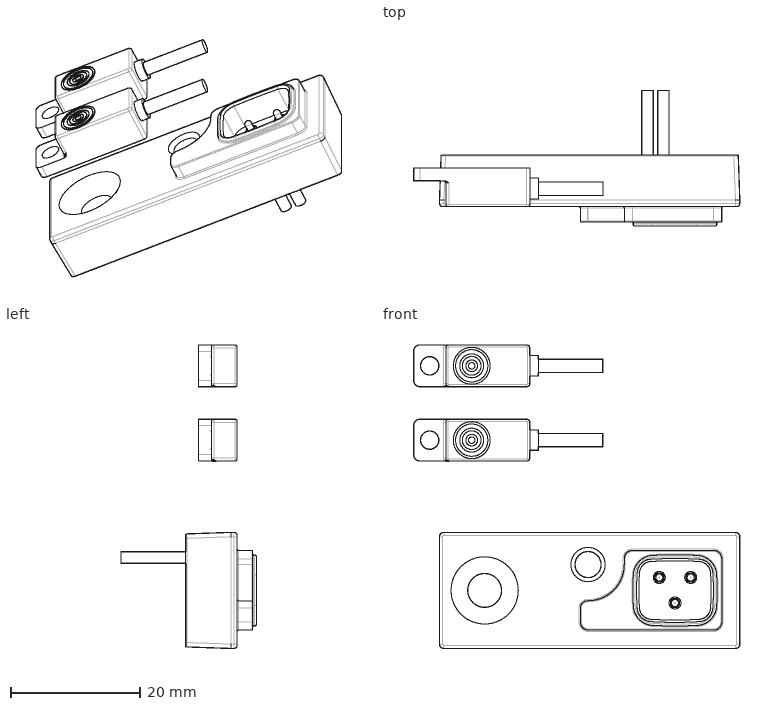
import cadquery as cq
import math


HOUSING_LENGTH = 46.5
HOUSING_HEIGHT = 18.0
HOUSING_DEPTH = 8.0
PLATE_DEPTH = 1.0
SIDE_DRAFT = 2.0
HOUSING_CORNER_RADIUS = 0.7
FRONT_EDGE_RADIUS = 0.5
BACK_EDGE_RADIUS = 0.2

SCREW_X = 7.0
SCREW_Z = HOUSING_HEIGHT / 2
SCREW_DIAMETER = 5.2
COUNTERSINK_DIAMETER = 10.4
COUNTERSINK_ANGLE = 90.0
PIN_HOLE_X = 23.0
PIN_HOLE_Z = 13.0
PIN_HOLE_DIAMETER = 4.0
PIN_HOLE_CHAMFER = 0.65

PAD_LEFT = 21.8
PAD_RIGHT = 43.7
PAD_BOTTOM = 2.85
PAD_TOP = 15.2
PAD_HEIGHT = 2.4
PAD_RELIEF_RADIUS = 5.6
PAD_CORNER_RADIUS = 1.3
PAD_TIP_RADIUS = 1.15
PAD_FRONT_RADIUS = 0.15
PAD_BASE_RADIUS = 0.2

CONNECTOR_X = 36.45
CONNECTOR_Z = 9.0
RIM_WIDTH = 13.0
RIM_HEIGHT = 11.0
RIM_CORNER_RADIUS = 3.2
RIM_PROJECTION = 3.0
RIM_EDGE_RADIUS = 0.3
RIM_BASE_RADIUS = 0.15
SIDE_BOW = 0.25
SOCKET_WIDTH = 11.2
SOCKET_HEIGHT = 9.2
SOCKET_CORNER_RADIUS = 1.9
SOCKET_DEPTH = 4.5
SOCKET_CHAMFER = 0.35

CONTACT_SPACING = 4.85
CONTACT_UPPER_Z = 11.0
CONTACT_LOWER_Z = 7.05
COLLAR_DIAMETER = 1.85
COLLAR_LENGTH = 0.8
COLLAR_CHAMFER = 0.2
CONTACT_DIAMETER = 1.1
CONTACT_TIP_RADIUS = 0.5
CONTACT_LENGTH = 2.2

BACK_WIRE_DIAMETER = 1.8
BACK_WIRE_LENGTH = 10.0
BACK_WIRE_XS = (32.2, 34.65)
BACK_WIRE_Z = 14.1

SENSOR_LEFT = -4.0
SENSOR_TOP = 47.0
SENSOR_PITCH = 11.5
SENSOR_COUNT = 2
SENSOR_LENGTH = 18.0
SENSOR_HEIGHT = 6.5
SENSOR_DEPTH = 6.0
SENSOR_CORNER_RADIUS = 0.5
SENSOR_FRONT_RADIUS = 0.35
TAB_LENGTH = 5.0
TAB_THICKNESS = 2.0
TAB_CORNER_RADIUS = 1.0
TAB_ROOT_RADIUS = 0.4
TAB_HOLE_X = 2.5
TAB_HOLE_DIAMETER = 2.8
TARGET_X = 9.0
TARGET_RING_DIAMETERS = ((5.7, 5.0), (3.7, 2.9), (1.8, 1.0))
TARGET_GROOVE_DEPTH = 0.1
CABLE_Y = 2.8
GLAND_DIAMETER = 3.2
GLAND_LENGTH = 1.3
CABLE_DIAMETER = 2.1
CABLE_REACH = 11.3

EDGE_MARGIN = 0.1
PLANE_TOLERANCE = 0.01


def front_plane(y, x=0.0, z=0.0):
    """Sketch plane facing the front (-Y): local x is X and local y is Z."""
    return cq.Workplane(cq.Plane(origin=(x, y, z), xDir=(1, 0, 0), normal=(0, -1, 0)))


def back_plane(y, x=0.0, z=0.0):
    """Sketch plane facing the back (+Y): local x is -X and local y is Z."""
    return cq.Workplane(cq.Plane(origin=(x, y, z), xDir=(-1, 0, 0), normal=(0, 1, 0)))


def housing_block():
    center_x = HOUSING_LENGTH / 2
    center_z = HOUSING_HEIGHT / 2
    plate = (
        back_plane(0, center_x, center_z)
        .rect(HOUSING_LENGTH, HOUSING_HEIGHT)
        .extrude(PLATE_DEPTH)
    )
    rear = (
        back_plane(PLATE_DEPTH, center_x, center_z)
        .rect(HOUSING_LENGTH, HOUSING_HEIGHT)
        .extrude(HOUSING_DEPTH - PLATE_DEPTH, taper=SIDE_DRAFT)
    )
    plate = plate.edges("|Y").fillet(HOUSING_CORNER_RADIUS)
    rear = rear.edges("not(#Y)").fillet(HOUSING_CORNER_RADIUS)
    rear = rear.faces(">Y").edges().fillet(BACK_EDGE_RADIUS)
    plate = plate.faces("<Y").edges().fillet(FRONT_EDGE_RADIUS)
    return plate.union(rear)


def pad_outline():
    """Pad outline with the upper left corner relieved around the pin hole."""
    relief_low = PIN_HOLE_Z - PAD_RELIEF_RADIUS
    relief_right = PIN_HOLE_X + PAD_RELIEF_RADIUS
    diagonal = PAD_RELIEF_RADIUS * math.sqrt(0.5)
    return (
        front_plane(0)
        .moveTo(PAD_LEFT, PAD_BOTTOM)
        .lineTo(PAD_RIGHT, PAD_BOTTOM)
        .lineTo(PAD_RIGHT, PAD_TOP)
        .lineTo(relief_right, PAD_TOP)
        .lineTo(relief_right, PIN_HOLE_Z)
        .threePointArc((PIN_HOLE_X + diagonal, PIN_HOLE_Z - diagonal), (PIN_HOLE_X, relief_low))
        .lineTo(PAD_LEFT, relief_low)
        .close()
    )


def connector_pad():
    pad = pad_outline().extrude(PAD_HEIGHT)
    plain_corners = (
        (PAD_LEFT, PAD_BOTTOM),
        (PAD_RIGHT, PAD_BOTTOM),
        (PAD_RIGHT, PAD_TOP),
        (PIN_HOLE_X + PAD_RELIEF_RADIUS, PAD_TOP),
    )
    for x, z in plain_corners:
        corner = (x, -PAD_HEIGHT / 2, z)
        pad = pad.edges(cq.selectors.NearestToPointSelector(corner)).fillet(PAD_CORNER_RADIUS)
    tip = (PAD_LEFT, -PAD_HEIGHT / 2, PIN_HOLE_Z - PAD_RELIEF_RADIUS)
    pad = pad.edges(cq.selectors.NearestToPointSelector(tip)).fillet(PAD_TIP_RADIUS)
    return pad.faces("<Y").edges().fillet(PAD_FRONT_RADIUS)


def bowed_block(width, height, corner_radius, y_front, depth):
    """Rounded block with gently bulging sides, reaching back from y_front."""
    half_w = width / 2 - SIDE_BOW
    half_h = height / 2 - SIDE_BOW
    block = (
        back_plane(y_front, CONNECTOR_X, CONNECTOR_Z)
        .moveTo(-half_w, -half_h)
        .threePointArc((0, -height / 2), (half_w, -half_h))
        .threePointArc((width / 2, 0), (half_w, half_h))
        .threePointArc((0, height / 2), (-half_w, half_h))
        .threePointArc((-width / 2, 0), (-half_w, -half_h))
        .close()
        .extrude(depth)
    )
    return block.edges("|Y").fillet(corner_radius)


def connector_rim():
    rim = bowed_block(RIM_WIDTH, RIM_HEIGHT, RIM_CORNER_RADIUS, -RIM_PROJECTION, RIM_PROJECTION)
    return rim.faces("<Y").edges().fillet(RIM_EDGE_RADIUS)


def connector_socket():
    """Cutter for the contact socket, open at the front of the rim."""
    return bowed_block(SOCKET_WIDTH, SOCKET_HEIGHT, SOCKET_CORNER_RADIUS, -RIM_PROJECTION, SOCKET_DEPTH)


def edges_in_plane(body, y, box):
    """Edges of body lying at depth y inside the X-Z box (x_min, z_min, x_max, z_max)."""
    x_min, z_min, x_max, z_max = box
    selector = cq.selectors.BoxSelector(
        (x_min, y - PLANE_TOLERANCE, z_min),
        (x_max, y + PLANE_TOLERANCE, z_max),
        boundingbox=True,
    )
    return body.edges(selector)


def add_connector(block):
    """Add the pad, rim and socket, with fillets at the roots of the pad and rim."""
    body = block.union(connector_pad())
    pad_box = (
        PAD_LEFT - EDGE_MARGIN,
        PAD_BOTTOM - EDGE_MARGIN,
        PAD_RIGHT + EDGE_MARGIN,
        PAD_TOP + EDGE_MARGIN,
    )
    body = edges_in_plane(body, 0, pad_box).fillet(PAD_BASE_RADIUS)
    body = body.union(connector_rim())
    rim_box = (
        CONNECTOR_X - RIM_WIDTH / 2 - EDGE_MARGIN,
        CONNECTOR_Z - RIM_HEIGHT / 2 - EDGE_MARGIN,
        CONNECTOR_X + RIM_WIDTH / 2 + EDGE_MARGIN,
        CONNECTOR_Z + RIM_HEIGHT / 2 + EDGE_MARGIN,
    )
    body = edges_in_plane(body, -PAD_HEIGHT, rim_box).fillet(RIM_BASE_RADIUS)
    body = body.cut(connector_socket())
    socket_box = (
        CONNECTOR_X - SOCKET_WIDTH / 2 - EDGE_MARGIN,
        CONNECTOR_Z - SOCKET_HEIGHT / 2 - EDGE_MARGIN,
        CONNECTOR_X + SOCKET_WIDTH / 2 + EDGE_MARGIN,
        CONNECTOR_Z + SOCKET_HEIGHT / 2 + EDGE_MARGIN,
    )
    return edges_in_plane(body, -RIM_PROJECTION, socket_box).chamfer(SOCKET_CHAMFER)


def contact(x, z):
    """Contact with a chamfered collar and a rounded tip, standing on the socket floor."""
    floor_y = SOCKET_DEPTH - RIM_PROJECTION
    collar = front_plane(floor_y, x, z).circle(COLLAR_DIAMETER / 2).extrude(COLLAR_LENGTH)
    collar = collar.faces("<Y").edges().chamfer(COLLAR_CHAMFER)
    post = front_plane(floor_y, x, z).circle(CONTACT_DIAMETER / 2).extrude(CONTACT_LENGTH)
    post = post.faces("<Y").edges().fillet(CONTACT_TIP_RADIUS)
    return collar.union(post)


def countersunk_hole(x, z, diameter, mouth_diameter):
    """Through-hole cutter with a conical mouth on the housing front face."""
    radius = diameter / 2
    mouth_radius = mouth_diameter / 2
    cone_depth = (mouth_radius - radius) / math.tan(math.radians(COUNTERSINK_ANGLE / 2))
    return (
        cq.Workplane("XY", origin=(x, 0, z))
        .polyline([
            (0, 0),
            (mouth_radius, 0),
            (radius, cone_depth),
            (radius, HOUSING_DEPTH),
            (0, HOUSING_DEPTH),
        ])
        .close()
        .revolve(360, (0, 0, 0), (0, 1, 0))
    )


def build_housing():
    body = add_connector(housing_block())
    contacts = (
        (CONNECTOR_X - CONTACT_SPACING / 2, CONTACT_UPPER_Z),
        (CONNECTOR_X + CONTACT_SPACING / 2, CONTACT_UPPER_Z),
        (CONNECTOR_X, CONTACT_LOWER_Z),
    )
    for x, z in contacts:
        body = body.union(contact(x, z))
    pin_mouth = PIN_HOLE_DIAMETER + 2 * PIN_HOLE_CHAMFER
    body = body.cut(countersunk_hole(SCREW_X, SCREW_Z, SCREW_DIAMETER, COUNTERSINK_DIAMETER))
    body = body.cut(countersunk_hole(PIN_HOLE_X, PIN_HOLE_Z, PIN_HOLE_DIAMETER, pin_mouth))
    for x in BACK_WIRE_XS:
        wire_start = back_plane(HOUSING_DEPTH, x, BACK_WIRE_Z)
        body = body.union(wire_start.circle(BACK_WIRE_DIAMETER / 2).extrude(BACK_WIRE_LENGTH))
    return body


def sensor_box(x_start, depth):
    """Box against the sensor back face, running from x_start to the cable end."""
    return (
        cq.Workplane("XY")
        .box(SENSOR_LENGTH - x_start, depth, SENSOR_HEIGHT, centered=False)
        .translate((x_start, SENSOR_DEPTH - depth, 0))
    )


def sensor_body():
    head = sensor_box(TAB_LENGTH, SENSOR_DEPTH).edges("|Y").fillet(SENSOR_CORNER_RADIUS)
    head = head.faces("<Y").edges().fillet(SENSOR_FRONT_RADIUS)
    tab = sensor_box(0, TAB_THICKNESS)
    tab = tab.edges("|Y and <X").fillet(TAB_CORNER_RADIUS).edges("|Y and >X").fillet(SENSOR_CORNER_RADIUS)
    body = head.union(tab)
    root = (TAB_LENGTH, SENSOR_DEPTH - TAB_THICKNESS, SENSOR_HEIGHT / 2)
    return body.edges(cq.selectors.NearestToPointSelector(root)).fillet(TAB_ROOT_RADIUS)


def build_sensor(bottom_z):
    middle_z = SENSOR_HEIGHT / 2
    body = sensor_body()
    tab_back = front_plane(SENSOR_DEPTH, TAB_HOLE_X, middle_z)
    body = body.cut(tab_back.circle(TAB_HOLE_DIAMETER / 2).extrude(TAB_THICKNESS))
    for outer, inner in TARGET_RING_DIAMETERS:
        ring = back_plane(0, TARGET_X, middle_z).circle(outer / 2).circle(inner / 2)
        body = body.cut(ring.extrude(TARGET_GROOVE_DEPTH))
    cable_end = cq.Workplane("YZ", origin=(SENSOR_LENGTH, CABLE_Y, middle_z))
    body = body.union(cable_end.circle(GLAND_DIAMETER / 2).extrude(GLAND_LENGTH))
    body = body.union(cable_end.circle(CABLE_DIAMETER / 2).extrude(CABLE_REACH))
    return body.translate((SENSOR_LEFT, 0, bottom_z))


housing = build_housing()

sensors = []
for index in range(SENSOR_COUNT):
    sensor_bottom = SENSOR_TOP - SENSOR_HEIGHT - index * SENSOR_PITCH
    sensors.append(build_sensor(sensor_bottom).val())

result = cq.Compound.makeCompound([housing.val(), *sensors])